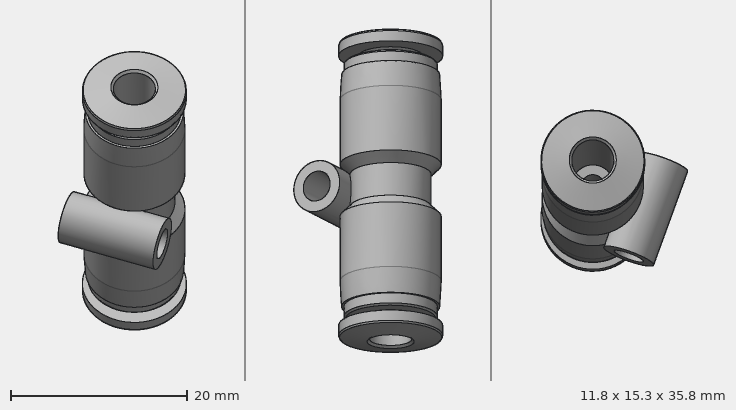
import cadquery as cq

length = 35.8
half_length = length / 2
body_radius = 11.5 / 2
waist_half_height = 1.95
waist_depth = 1.15
waist_radius = body_radius - waist_depth
shoulder_z = waist_half_height + waist_depth

taper_bottom_z = 10.75
taper_top_z = 13.75
taper_top_radius = 11.15 / 2
taper_bulge = 0.05

sleeve_radius = 10.6 / 2
sleeve_top_z = 15.15
sleeve_chamfer = 0.2

neck_radius = 6.75 / 2
neck_flare = 0.25
rim_radius = 11.8 / 2
rim_bottom_z = 15.95
rim_chamfer_width = 0.1
rim_chamfer_height = 0.2
crown_height = 0.5
crown_bottom_z = half_length - crown_height

socket_radius = 4.75 / 2
socket_chamfer = 0.3
socket_floor_z = shoulder_z
passage_diameter = 2.5

tube_diameter = 6.0
tube_bore_diameter = 3.5
tube_length = 2 * body_radius
overall_depth = 15.3
tube_y = rim_radius - overall_depth + tube_diameter / 2


def cylinder_along_x(diameter):
    """Cylinder with the length and axis of the mounting tube."""
    return (
        cq.Workplane("YZ", origin=(-tube_length / 2, 0, 0))
        .center(tube_y, 0)
        .circle(diameter / 2)
        .extrude(tube_length)
    )


def upper_half():
    """Upper half of the turned body, with its socket."""
    taper_middle = (
        (body_radius + taper_top_radius) / 2 + taper_bulge,
        (taper_bottom_z + taper_top_z) / 2,
    )
    return (
        cq.Workplane("XZ")
        .moveTo(0, 0)
        .lineTo(waist_radius, 0)
        .lineTo(waist_radius, waist_half_height)
        .lineTo(body_radius, shoulder_z)
        .lineTo(body_radius, taper_bottom_z)
        .threePointArc(taper_middle, (taper_top_radius, taper_top_z))
        .lineTo(sleeve_radius, taper_top_z)
        .lineTo(sleeve_radius, sleeve_top_z - sleeve_chamfer)
        .lineTo(sleeve_radius - sleeve_chamfer, sleeve_top_z)
        .lineTo(neck_radius, sleeve_top_z)
        .lineTo(neck_radius, rim_bottom_z - neck_flare)
        .lineTo(neck_radius + neck_flare, rim_bottom_z)
        .lineTo(rim_radius, rim_bottom_z)
        .lineTo(rim_radius, crown_bottom_z - rim_chamfer_height)
        .lineTo(rim_radius - rim_chamfer_width, crown_bottom_z)
        .lineTo(socket_radius + socket_chamfer, half_length)
        .lineTo(socket_radius, half_length - socket_chamfer)
        .lineTo(socket_radius, socket_floor_z)
        .lineTo(0, socket_floor_z)
        .close()
        .revolve(360, (0, 0, 0), (0, 1, 0))
    )


upper = upper_half()
body = upper.union(upper.mirror("XY"))
body = body.union(cylinder_along_x(tube_diameter))

passage = cq.Workplane("XY").circle(passage_diameter / 2).extrude(half_length, both=True)
result = body.cut(passage).cut(cylinder_along_x(tube_bore_diameter))